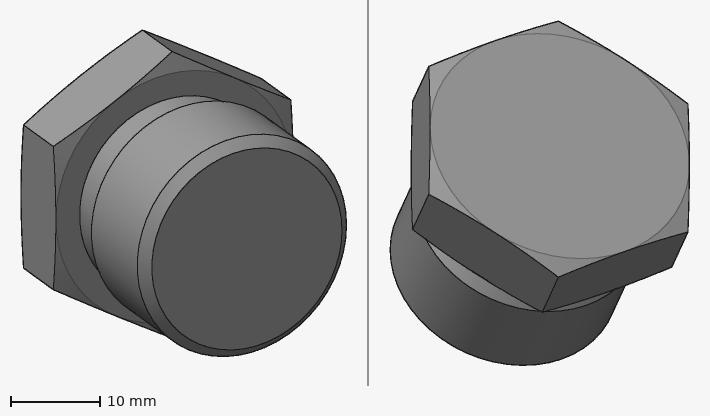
import cadquery as cq
import math

corner_width = 34.65
flat_width = corner_width * math.cos(math.pi / 6)
total_length = 26.0
head_length = 8.5
head_chamfer_angle = math.radians(15)

neck_diameter = 24.0
neck_length = 4.0
thread_diameter = 26.43
thread_chamfer = (thread_diameter - neck_diameter) / 2


def chamfered_head():
    """Hexagon with corners at +Z and -Z, both ends turned to a cone."""
    hexagon = (
        cq.Workplane("YZ")
        .polygon(6, corner_width)
        .extrude(head_length)
        .rotate((0, 0, 0), (1, 0, 0), 90)
    )
    end_radius = flat_width / 2
    corner_radius = corner_width / 2
    chamfer_depth = (corner_radius - end_radius) * math.tan(head_chamfer_angle)
    turned_blank = (
        cq.Workplane("XY")
        .moveTo(0, 0)
        .lineTo(0, end_radius)
        .lineTo(chamfer_depth, corner_radius)
        .lineTo(head_length - chamfer_depth, corner_radius)
        .lineTo(head_length, end_radius)
        .lineTo(head_length, 0)
        .close()
        .revolve(360, (0, 0, 0), (1, 0, 0))
    )
    return hexagon.intersect(turned_blank)


def shank():
    """Neck groove, then the thread cylinder with a 45 degree chamfer at each end."""
    neck_radius = neck_diameter / 2
    thread_radius = thread_diameter / 2
    neck_end = head_length + neck_length
    return (
        cq.Workplane("XY")
        .moveTo(head_length, 0)
        .lineTo(head_length, neck_radius)
        .lineTo(neck_end, neck_radius)
        .lineTo(neck_end + thread_chamfer, thread_radius)
        .lineTo(total_length - thread_chamfer, thread_radius)
        .lineTo(total_length, neck_radius)
        .lineTo(total_length, 0)
        .close()
        .revolve(360, (0, 0, 0), (1, 0, 0))
    )


result = chamfered_head().union(shank())